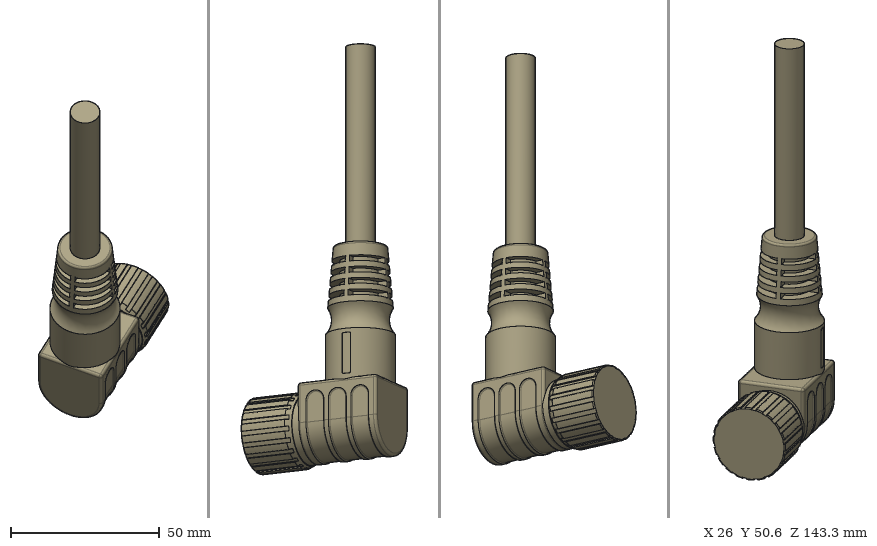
import cadquery as cq
import math


body_radius = 11.9
body_top = 13.9
body_back = -12.0
body_front = 17.8
body_fillet = 1.0

pocket_count = 3
pocket_width = 6.7
pocket_pitch = 8.45
pocket_first_y = -5.75
pocket_top = 10.7
pocket_depth = 0.4
pocket_floor_fillet = 0.38

nut_front = 38.6
nut_back = 19.8
nut_radius = 13.0
nut_back_radius = 12.1
nut_shoulder_y = 22.0
nut_shoulder_mid_radius = 12.55
nut_shoulder_mid_y = 20.8
nut_chamfer = 0.4
coupling_neck_radius = 11.8
groove_count = 20
groove_width = 1.6
groove_floor_radius = 12.5
groove_phase = 7.6

sleeve_radius = 11.8
sleeve_top = 30.8
waist_radius = 9.8
waist_z = 35.6
boot_bottom = 40.2
boot_top = 61.4
boot_bottom_radius = 11.05
boot_top_radius = 9.15
boot_fillet = 0.8
cable_radius = 5.0
cable_top = 130.3

slot_ring_count = 4
slot_pitch = 4.0
slot_height = 2.0
slot_first_z = 43.4
boot_core_radius = 7.0
boot_rib_width = 1.6

panel_width = 3.1
panel_bottom = 15.3
panel_top = 29.4
panel_y = -0.6
panel_depth = 0.15
panel_corner = 0.6


def body_blank(inset, y_start, y_end):
    """Block with a half-round underside, drawn in by `inset` all round."""
    radius = body_radius - inset
    top = body_top - inset
    return (
        cq.Workplane("XZ", origin=(0, y_end, 0))
        .moveTo(-radius, top)
        .lineTo(-radius, 0)
        .threePointArc((0, -radius), (radius, 0))
        .lineTo(radius, top)
        .close()
        .extrude(y_end - y_start)
    )


def grip_pocket(y):
    """Round-topped band around the body, as the material to remove."""
    half_width = pocket_width / 2
    arch_z = pocket_top - half_width
    reach = 2 * body_radius
    arch = (
        cq.Workplane("YZ", origin=(-reach, 0, 0))
        .moveTo(y - half_width, -reach)
        .lineTo(y - half_width, arch_z)
        .threePointArc((y, pocket_top), (y + half_width, arch_z))
        .lineTo(y + half_width, -reach)
        .close()
        .extrude(2 * reach)
    )
    core = body_blank(pocket_depth, body_back, body_front)
    return arch.cut(core).edges().filter(is_pocket_floor_edge).fillet(pocket_floor_fillet)


def is_pocket_floor_edge(edge):
    """True for edges on the pocket floor, well inside the body's outer skin."""
    middle = edge.positionAt(0.5)
    distance = math.hypot(middle.x, min(middle.z, 0))
    return distance < body_radius - pocket_depth / 2


def elbow_body():
    blank = body_blank(0, body_back, body_front)
    body = blank.edges(">Z or |Z or %CIRCLE").fillet(body_fillet)
    for i in range(pocket_count):
        body = body.cut(grip_pocket(pocket_first_y + i * pocket_pitch))
    return body


def coupling():
    """Neck and fluted nut, turned about the Y axis."""
    nut = (
        cq.Workplane("XY")
        .moveTo(0, body_front - body_fillet)
        .lineTo(coupling_neck_radius, body_front - body_fillet)
        .lineTo(coupling_neck_radius, nut_back)
        .lineTo(nut_back_radius, nut_back)
        .threePointArc((nut_shoulder_mid_radius, nut_shoulder_mid_y), (nut_radius, nut_shoulder_y))
        .lineTo(nut_radius, nut_front - nut_chamfer)
        .lineTo(nut_radius - nut_chamfer, nut_front)
        .lineTo(0, nut_front)
        .close()
        .revolve(360, (0, 0, 0), (0, 1, 0))
    )
    cutter_depth = 2 * (nut_radius - groove_floor_radius)
    groove = (
        cq.Workplane("XY")
        .box(cutter_depth, nut_front - nut_back, groove_width, centered=(False, False, True))
        .translate((groove_floor_radius, nut_back, 0))
    )
    for i in range(groove_count):
        angle = groove_phase + i * 360 / groove_count
        nut = nut.cut(groove.rotate((0, 0, 0), (0, 1, 0), -angle))
    return nut


def cable_side():
    """Sleeve, waist, boot and cable, turned about the Z axis."""
    boot = (
        cq.Workplane("XZ")
        .moveTo(0, boot_bottom)
        .lineTo(boot_bottom_radius, boot_bottom)
        .lineTo(boot_top_radius, boot_top)
        .lineTo(0, boot_top)
        .close()
        .revolve(360, (0, 0, 0), (0, 1, 0))
        .faces(">Z")
        .edges()
        .fillet(boot_fillet)
    )
    for i in range(slot_ring_count):
        boot = boot.cut(boot_slots(slot_first_z + i * slot_pitch))
    base = (
        cq.Workplane("XZ")
        .moveTo(0, body_top - body_fillet)
        .lineTo(sleeve_radius, body_top - body_fillet)
        .lineTo(sleeve_radius, sleeve_top)
        .threePointArc((waist_radius, waist_z), (boot_bottom_radius, boot_bottom))
        .lineTo(0, boot_bottom)
        .close()
        .revolve(360, (0, 0, 0), (0, 1, 0))
    )
    cable = (
        cq.Workplane("XY", origin=(0, 0, boot_bottom))
        .circle(cable_radius)
        .extrude(cable_top - boot_bottom)
    )
    return base.cut(marker_panel()).union(boot).union(cable)


def boot_slots(z):
    """One ring of slots around the boot core, parted by four ribs."""
    plane = cq.Workplane("XY", origin=(0, 0, z - slot_height / 2))
    ring = plane.circle(2 * boot_bottom_radius).circle(boot_core_radius).extrude(slot_height)
    rib_length = 4 * boot_bottom_radius
    ribs = plane.rect(rib_length, boot_rib_width).extrude(slot_height)
    ribs = ribs.union(plane.rect(boot_rib_width, rib_length).extrude(slot_height))
    return ring.cut(ribs)


def marker_panel():
    """Rounded rectangle following the sleeve wall, as the material to remove."""
    height = panel_top - panel_bottom
    block = (
        cq.Workplane("YZ", origin=(-2 * sleeve_radius, panel_y, panel_bottom + height / 2))
        .rect(panel_width, height)
        .extrude(2 * sleeve_radius)
        .edges("|X")
        .fillet(panel_corner)
    )
    core = cq.Workplane("XY").circle(sleeve_radius - panel_depth).extrude(boot_bottom)
    return block.cut(core)


result = elbow_body().union(coupling()).union(cable_side())